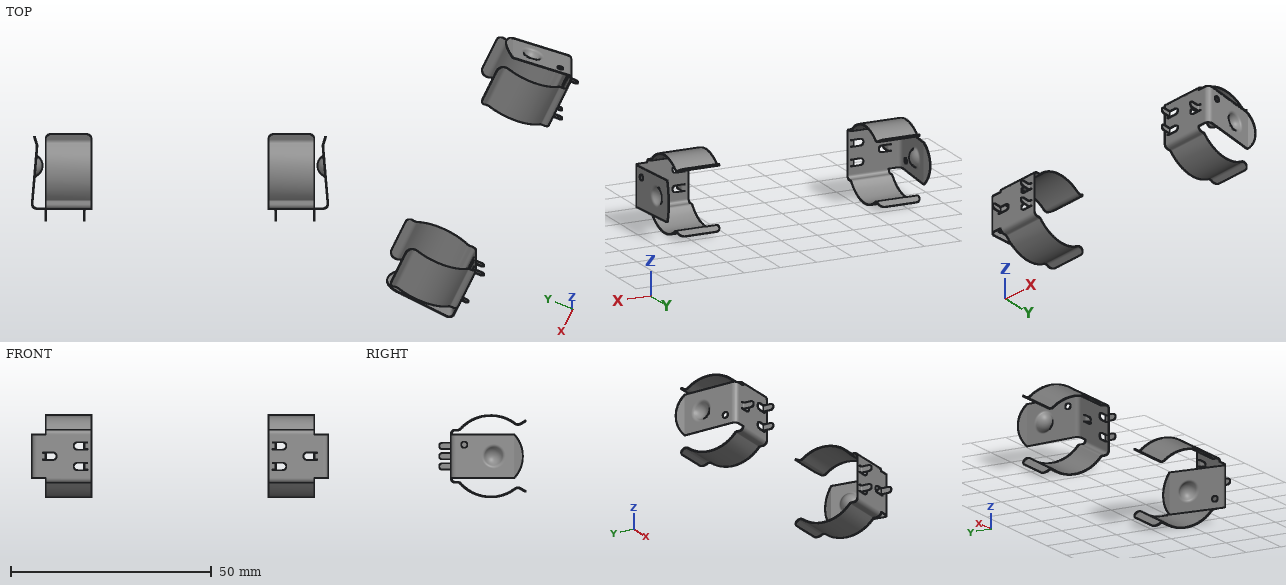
import cadquery as cq
import math

overall_length = 73.95
sheet = 0.25
half_sheet = sheet / 2

left_end = -overall_length / 2
plate_end = -22.05
plate_height = 10.95
half_plate = plate_height / 2

tongue_bend = 1.3
tongue_lean = 4.9
tongue_kink_y = 15.8
tongue_flare = 22.0
tongue_kink_radius = 0.2
tongue_tip_y = 18.05
bend_center_x = left_end + tongue_bend

dimple_y = 10.7
dimple_rim_radius = 3.0
dimple_bowl_radius = 2.2
dimple_depth = 1.7
hole_y = 3.4
hole_z = -2.9
hole_diameter = 1.55

arm_start = -33.5
arm_width = plate_end - arm_start
arm_root_bend = 1.2
arm_kink_radius = 0.5
grip_radius = 10.3
grip_center_y = 10.0
grip_exit_slope = 37.0
arm_lip_slope = 30.0
arm_lip_bend = 1.0
arm_tip_y = 18.8
arm_corner_radius = 1.5

lug_width = 1.6
lug_reach = 2.9
lug_bend = 0.5
lug_root = 0.4
lug_spacing = 5.1
slot_width = 1.8
slot_length = 3.4
pair_root_x = -23.1
single_root_x = -34.2


def sheet_path(plane, start, heading, steps):
    """Wire of straight steps (length, 0) and bends (radius, turn in degrees, left positive)."""
    path = cq.Workplane(plane).moveTo(*start)
    x, y = start
    for size, turn in steps:
        angle = math.radians(heading)
        if turn == 0:
            x += size * math.cos(angle)
            y += size * math.sin(angle)
            path = path.lineTo(x, y)
            continue
        side = math.copysign(1, turn)
        center_x = x - side * size * math.sin(angle)
        center_y = y + side * size * math.cos(angle)
        points = []
        for part in (0.5, 1.0):
            turned = angle + part * math.radians(turn)
            points.append((center_x + side * size * math.sin(turned),
                           center_y - side * size * math.cos(turned)))
        path = path.threePointArc(*points)
        x, y = points[-1]
        heading += turn
    return path


def tongue_point(y):
    """Point on the middle surface of the leaning tongue at height y, in the XY plane."""
    lean = math.radians(tongue_lean)
    radius = tongue_bend - half_sheet
    start_x = bend_center_x - radius * math.cos(lean)
    start_y = tongue_bend + radius * math.sin(lean)
    return start_x + (y - start_y) * math.tan(lean), y


def make_plate_and_tongue():
    lean = math.radians(tongue_lean)
    bend_radius = tongue_bend - half_sheet
    straight = (tongue_kink_y - tongue_bend - bend_radius * math.sin(lean)) / math.cos(lean)
    flare_angle = math.radians(tongue_flare - tongue_lean)
    flare = (tongue_tip_y - tongue_kink_y) / math.cos(flare_angle)
    path = sheet_path("XY", (plate_end, half_sheet), 180, [
        (plate_end - bend_center_x, 0),
        (bend_radius, -90 - tongue_lean),
        (straight, 0),
        (tongue_kink_radius, tongue_flare),
        (flare, 0),
    ])
    strip = (
        cq.Workplane("YZ", origin=(plate_end, half_sheet, 0))
        .rect(sheet, plate_height)
        .sweep(path)
    )
    rounded_outline = (
        cq.Workplane("YZ", origin=(left_end, 0, 0))
        .moveTo(0, -half_plate)
        .lineTo(tongue_kink_y, -half_plate)
        .threePointArc((tongue_tip_y, 0), (tongue_kink_y, half_plate))
        .lineTo(0, half_plate)
        .close()
        .extrude(overall_length)
    )
    return strip.intersect(rounded_outline)


def tongue_plane(y, z):
    """Plane on the outer face of the tongue, its normal pointing into the clip."""
    lean = math.radians(tongue_lean)
    middle_x, middle_y = tongue_point(y)
    origin = (
        middle_x - half_sheet * math.cos(lean),
        middle_y + half_sheet * math.sin(lean),
        z,
    )
    along = (math.sin(lean), math.cos(lean), 0)
    inward = (math.cos(lean), -math.sin(lean), 0)
    return cq.Plane(origin, along, inward)


def add_dimple(body):
    plane = tongue_plane(dimple_y, 0)
    opening = cq.Workplane(plane).circle(dimple_rim_radius).extrude(sheet)
    wall_angle = 2 * math.atan(dimple_depth / dimple_rim_radius)
    bowl = dimple_bowl_radius / math.sin(wall_angle)
    rim = (dimple_rim_radius - dimple_bowl_radius) / math.sin(wall_angle)

    def rim_point(offset, angle):
        radius = rim - offset
        return dimple_rim_radius - radius * math.sin(angle), rim - radius * math.cos(angle)

    def bowl_point(offset, angle):
        radius = bowl + offset
        return radius * math.sin(angle), dimple_depth - bowl + radius * math.cos(angle)

    section_plane = cq.Plane(plane.origin, plane.xDir, plane.xDir.cross(plane.zDir))
    cup = (
        cq.Workplane(section_plane)
        .moveTo(*rim_point(0, 0))
        .threePointArc(rim_point(0, wall_angle / 2), rim_point(0, wall_angle))
        .threePointArc(bowl_point(0, wall_angle / 2), bowl_point(0, 0))
        .lineTo(*bowl_point(sheet, 0))
        .threePointArc(bowl_point(sheet, wall_angle / 2), bowl_point(sheet, wall_angle))
        .threePointArc(rim_point(sheet, wall_angle / 2), rim_point(sheet, 0))
        .close()
        .revolve(360, (0, 0), (0, 1))
    )
    return body.cut(opening).union(cup)


def cut_small_hole(body):
    hole = cq.Workplane(tongue_plane(hole_y, hole_z)).circle(hole_diameter / 2).extrude(sheet)
    return body.cut(hole)


def make_arm():
    """Upper arm: root bend, short flat, kink, round stretch and lead-in lip."""
    root = arm_root_bend - half_sheet
    kink = arm_kink_radius + half_sheet
    grip = grip_radius - half_sheet
    lip_bend = arm_lip_bend + half_sheet
    flat_z = half_plate + root
    touch = math.asin((flat_z + kink) / (grip + kink))
    kink_y = grip_center_y - (grip + kink) * math.cos(touch)
    kink_turn = 90 - math.degrees(touch)
    exit_angle = math.radians(grip_exit_slope)
    lip_angle = math.radians(arm_lip_slope)
    lip_start_y = (
        grip_center_y
        + (grip + lip_bend) * math.sin(exit_angle)
        + lip_bend * math.sin(lip_angle)
    )
    lip_length = (arm_tip_y - half_sheet * math.sin(lip_angle) - lip_start_y) / math.cos(lip_angle)
    path = sheet_path("YZ", (half_sheet, half_plate), 90, [
        (root, -90),
        (kink_y - arm_root_bend, 0),
        (kink, kink_turn),
        (grip, -kink_turn - grip_exit_slope),
        (lip_bend, grip_exit_slope + arm_lip_slope),
        (lip_length, 0),
    ])
    path = path.translate((arm_start + arm_width / 2, 0, 0))
    arm = (
        cq.Workplane("XY", origin=(arm_start + arm_width / 2, half_sheet, half_plate))
        .rect(arm_width, sheet)
        .sweep(path)
    )
    return arm.faces(">Y").edges("not |X").fillet(arm_corner_radius)


def add_lug(body, root_x, z, direction):
    """Lug folded back from a slot that runs from root_x along X in the given direction."""
    bend = lug_bend - half_sheet
    half_width = lug_width / 2
    straight = lug_reach + sheet - lug_bend - half_width
    half_slot = slot_width / 2
    slot_side = slot_length - half_slot
    slot = (
        cq.Workplane("XZ", origin=(root_x, sheet, z))
        .moveTo(0, -half_slot)
        .lineTo(direction * slot_side, -half_slot)
        .threePointArc((direction * slot_length, 0), (direction * slot_side, half_slot))
        .lineTo(0, half_slot)
        .close()
        .extrude(sheet)
    )
    heading = 0 if direction > 0 else 180
    path = sheet_path("XY", (root_x, half_sheet), heading, [
        (lug_root, 0),
        (bend, -direction * 90),
        (straight, 0),
    ]).translate((0, 0, z))
    strip = (
        cq.Workplane("YZ", origin=(root_x, half_sheet, z))
        .rect(sheet, lug_width)
        .sweep(path)
    )
    round_end = (
        cq.Workplane("YZ", origin=(root_x + direction * (lug_root + bend), half_width - lug_reach, z))
        .circle(half_width)
        .extrude(half_sheet, both=True)
    )
    return body.cut(slot).union(strip).union(round_end)


def make_clip():
    clip = make_plate_and_tongue()
    clip = add_dimple(clip)
    clip = cut_small_hole(clip)
    arm = make_arm()
    clip = clip.union(arm).union(arm.mirror("XY"))
    for side in (-1, 1):
        clip = add_lug(clip, pair_root_x, side * lug_spacing / 2, -1)
    return add_lug(clip, single_root_x, 0, 1)


clip = make_clip()
clips = [clip.rotate((0, 0, 0), (0, 1, 0), turn).val() for turn in (0, 180)]

result = cq.Compound.makeCompound(clips)